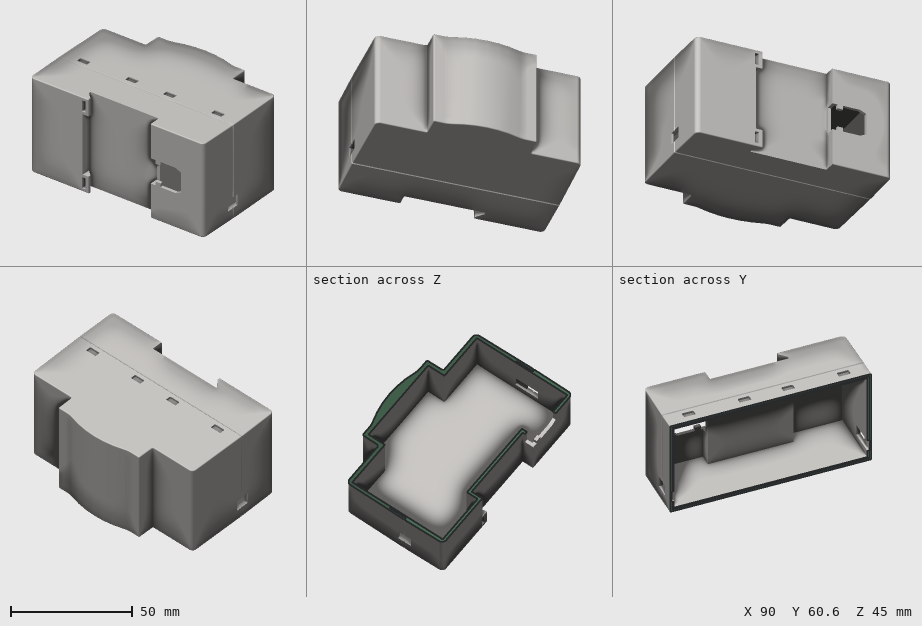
import cadquery as cq
import math

WIDTH = 90.0
HEIGHT = 45.0
JOINT_Y = 19.8
SHOULDER_Y = 49.5
STEP_Y = 57.8
DOME_Y = 60.6
STEP_HALF_WIDTH = 22.5
DRAFT_ANGLE = 0.7
DOME_RADIUS = 46.8
DOME_FOOT_RADIUS = 10.8

CORNER_RADIUS = 2.115
FOOT_RADIUS = 0.7
STEP_EDGE_RADIUS = 0.5
RIM_RADIUS = 0.495
JOINT_CHAMFER = 0.4

WALL = 2.0
FRONT_WALL = 1.5
SKIRT = 1.0
TONGUE_TOP = 27.9

WINDOW_BOTTOM = 16.3
WINDOW_TOP = 22.9
WINDOW_Z = 5.2
WINDOW_HEIGHT = 5.1

SLOT_X = [-34.6, -9.7, 9.7, 34.6]
SLOT_LENGTH = 5.2
SLOT_BOTTOM = 22.0
SLOT_TOP = 24.6
SLOT_RADIUS = 0.5

RAIL_HALF_WIDTH = 17.55
RAIL_DEPTH = 5.4
LIP_END_X = -14.6
LIP_TIP = 1.35
LIP_LENGTH = 8.1

RECESS_X = -17.0
RECESS_WIDTH = 1.8
RECESS_LENGTH = 5.2
RECESS_END_GAP = 1.5
RECESS_DEPTH = 1.3

LATCH_WALL_DEPTH = 4.2
LATCH_HALF_WIDTH = 6.0
LATCH_NECK_HALF_WIDTH = 4.2
LATCH_TIP_HALF_WIDTH = 4.8
LATCH_NECK_X = 19.9
LATCH_BODY_X = 22.5
LATCH_TAPER_X = 30.15
LATCH_TIP_X = 33.1

OVERCUT = 0.9
HALF_WIDTH = WIDTH / 2
MIDDLE_Z = HEIGHT / 2


def draft_offset(height):
    """Sideways shift of a drafted wall over the given height."""
    return height * math.tan(math.radians(DRAFT_ANGLE))


SHOULDER_HALF_WIDTH = HALF_WIDTH - draft_offset(SHOULDER_Y - JOINT_Y)
BOTTOM_HALF_WIDTH = HALF_WIDTH - draft_offset(JOINT_Y)
STEP_TOP_HALF_WIDTH = STEP_HALF_WIDTH - draft_offset(STEP_Y - SHOULDER_Y)


def block(x_range, y_range, z_range):
    """Box between two X, two Y and two Z positions."""
    size = [high - low for low, high in (x_range, y_range, z_range)]
    corner = (x_range[0], y_range[0], z_range[0])
    return cq.Workplane("XY").box(*size, centered=False).translate(corner)


def inner_block(half_width, y_range, inset):
    """Box centred on X that stays the given inset away from the +Z and -Z faces."""
    return block((-half_width, half_width), y_range, (inset, HEIGHT - inset))


def fillet_upright_edges(body, half_width, y, radius):
    """Round the two Z edges at the given distance from the middle plane."""
    for x in (-half_width, half_width):
        edge = cq.NearestToPointSelector((x, y, MIDDLE_Z))
        body = body.edges(edge).fillet(radius)
    return body


def window_cutter(top):
    """Bar along X that opens both side walls."""
    return block(
        (-HALF_WIDTH - OVERCUT, HALF_WIDTH + OVERCUT),
        (WINDOW_BOTTOM, top),
        (WINDOW_Z, WINDOW_Z + WINDOW_HEIGHT),
    )


def cover_outline():
    """Outline with the dome arc and its two foot arcs tangent to each other and to the step."""
    dome_centre_y = DOME_Y - DOME_RADIUS
    foot_centre_y = STEP_Y + DOME_FOOT_RADIUS
    centre_distance = DOME_RADIUS + DOME_FOOT_RADIUS
    foot_x = math.sqrt(centre_distance**2 - (foot_centre_y - dome_centre_y) ** 2)
    foot_angle = math.asin(foot_x / centre_distance)
    tangent_x = DOME_RADIUS * math.sin(foot_angle)
    tangent_y = dome_centre_y + DOME_RADIUS * math.cos(foot_angle)
    middle_x = foot_x - DOME_FOOT_RADIUS * math.sin(foot_angle / 2)
    middle_y = foot_centre_y - DOME_FOOT_RADIUS * math.cos(foot_angle / 2)
    return (
        cq.Workplane("XY")
        .moveTo(-HALF_WIDTH, JOINT_Y)
        .lineTo(HALF_WIDTH, JOINT_Y)
        .lineTo(SHOULDER_HALF_WIDTH, SHOULDER_Y)
        .lineTo(STEP_HALF_WIDTH, SHOULDER_Y)
        .lineTo(STEP_TOP_HALF_WIDTH, STEP_Y)
        .lineTo(foot_x, STEP_Y)
        .threePointArc((middle_x, middle_y), (tangent_x, tangent_y))
        .threePointArc((0, DOME_Y), (-tangent_x, tangent_y))
        .threePointArc((-middle_x, middle_y), (-foot_x, STEP_Y))
        .lineTo(-STEP_TOP_HALF_WIDTH, STEP_Y)
        .lineTo(-STEP_HALF_WIDTH, SHOULDER_Y)
        .lineTo(-SHOULDER_HALF_WIDTH, SHOULDER_Y)
        .close()
    )


def cover_cavity():
    """Hollow of the cover: wide part, raised centre, and the rebate for the tongue."""
    below = JOINT_Y - OVERCUT
    wide = inner_block(HALF_WIDTH - WALL, (below, SHOULDER_Y - WALL), WALL)
    centre = inner_block(STEP_HALF_WIDTH - WALL, (below, STEP_Y - WALL), WALL)
    rebate = inner_block(HALF_WIDTH - SKIRT, (below, TONGUE_TOP), SKIRT)
    return wide.union(centre).union(rebate)


def slot_cutter(x):
    """Slot through the +Z skirt, rounded on the joint side."""
    return (
        block(
            (x - SLOT_LENGTH / 2, x + SLOT_LENGTH / 2),
            (SLOT_BOTTOM, SLOT_TOP),
            (HEIGHT - SKIRT, HEIGHT + OVERCUT),
        )
        .edges("|Z and <Y")
        .fillet(SLOT_RADIUS)
    )


def make_cover():
    body = cover_outline().extrude(HEIGHT)
    body = fillet_upright_edges(body, SHOULDER_HALF_WIDTH, SHOULDER_Y, CORNER_RADIUS)
    body = fillet_upright_edges(body, STEP_HALF_WIDTH, SHOULDER_Y, FOOT_RADIUS)
    body = fillet_upright_edges(body, STEP_TOP_HALF_WIDTH, STEP_Y, STEP_EDGE_RADIUS)
    body = body.faces("<Z or >Z").edges("not <Y").fillet(RIM_RADIUS)
    body = body.faces("<Y").chamfer(JOINT_CHAMFER)
    body = body.cut(cover_cavity()).cut(window_cutter(WINDOW_TOP))
    for x in SLOT_X:
        body = body.cut(slot_cutter(x))
    return body


def base_shell():
    """Outer block of the base, before it is hollowed."""
    body = (
        cq.Workplane("XY")
        .moveTo(-HALF_WIDTH, JOINT_Y)
        .lineTo(-BOTTOM_HALF_WIDTH, 0)
        .lineTo(BOTTOM_HALF_WIDTH, 0)
        .lineTo(HALF_WIDTH, JOINT_Y)
        .close()
        .extrude(HEIGHT)
    )
    body = body.edges("|Z and <Y").fillet(CORNER_RADIUS)
    body = body.faces("<Z or >Z").edges("not >Y").fillet(RIM_RADIUS)
    return body.faces(">Y").chamfer(JOINT_CHAMFER)


def tongue_block():
    """Solid core of the tongue that fits inside the skirt of the cover."""
    return inner_block(HALF_WIDTH - SKIRT, (JOINT_Y - OVERCUT, TONGUE_TOP), SKIRT)


def base_cavity():
    """Hollow of the base and tongue, leaving a wall around the rail channel."""
    hollow = inner_block(HALF_WIDTH - WALL, (FRONT_WALL, TONGUE_TOP + OVERCUT), WALL)
    channel_wall = inner_block(RAIL_HALF_WIDTH + FRONT_WALL, (0, RAIL_DEPTH + FRONT_WALL), WALL)
    return hollow.cut(channel_wall)


def rail_channel():
    """Channel along Z: undercut at the two lips, straight between them."""
    undercut_y = LIP_TIP + LIP_END_X + RAIL_HALF_WIDTH
    at_lips = (
        cq.Workplane("XY")
        .moveTo(LIP_END_X, -OVERCUT)
        .lineTo(LIP_END_X, LIP_TIP)
        .lineTo(-RAIL_HALF_WIDTH, undercut_y)
        .lineTo(-RAIL_HALF_WIDTH, RAIL_DEPTH)
        .lineTo(RAIL_HALF_WIDTH, RAIL_DEPTH)
        .lineTo(RAIL_HALF_WIDTH, -OVERCUT)
        .close()
        .extrude(HEIGHT)
    )
    between_lips = inner_block(RAIL_HALF_WIDTH, (-OVERCUT, RAIL_DEPTH), LIP_LENGTH)
    return at_lips.union(between_lips)


def lip_recess(z):
    """Recess in a lip, from the given lower Z."""
    left = RECESS_X - RECESS_WIDTH / 2
    right = RECESS_X + RECESS_WIDTH / 2
    return (
        cq.Workplane("XY", origin=(0, 0, z))
        .moveTo(left, -OVERCUT)
        .lineTo(right, -OVERCUT)
        .lineTo(right, RECESS_DEPTH)
        .lineTo(left, RECESS_DEPTH + RECESS_WIDTH)
        .close()
        .extrude(RECESS_LENGTH)
    )


def latch_opening():
    """Opening in the channel wall, then a neck and a tapered body in the front wall."""
    mouth = block(
        (RAIL_HALF_WIDTH - OVERCUT, LATCH_NECK_X),
        (-OVERCUT, LATCH_WALL_DEPTH),
        (MIDDLE_Z - LATCH_HALF_WIDTH, MIDDLE_Z + LATCH_HALF_WIDTH),
    )
    neck = block(
        (LATCH_NECK_X, LATCH_BODY_X),
        (-OVERCUT, FRONT_WALL),
        (MIDDLE_Z - LATCH_NECK_HALF_WIDTH, MIDDLE_Z + LATCH_NECK_HALF_WIDTH),
    )
    tapered = (
        cq.Workplane("XZ", origin=(0, FRONT_WALL, MIDDLE_Z))
        .moveTo(LATCH_BODY_X, -LATCH_HALF_WIDTH)
        .lineTo(LATCH_TAPER_X, -LATCH_HALF_WIDTH)
        .lineTo(LATCH_TIP_X, -LATCH_TIP_HALF_WIDTH)
        .lineTo(LATCH_TIP_X, LATCH_TIP_HALF_WIDTH)
        .lineTo(LATCH_TAPER_X, LATCH_HALF_WIDTH)
        .lineTo(LATCH_BODY_X, LATCH_HALF_WIDTH)
        .close()
        .extrude(FRONT_WALL + OVERCUT)
    )
    return mouth.union(neck).union(tapered)


def make_base():
    body = base_shell().union(tongue_block())
    body = body.cut(base_cavity())
    body = body.cut(rail_channel())
    body = body.cut(window_cutter(TONGUE_TOP + OVERCUT))
    for z in (RECESS_END_GAP, HEIGHT - RECESS_END_GAP - RECESS_LENGTH):
        body = body.cut(lip_recess(z))
    return body.cut(latch_opening())


base = make_base()
cover = make_cover()

result = cq.Compound.makeCompound([base.val(), cover.val()])